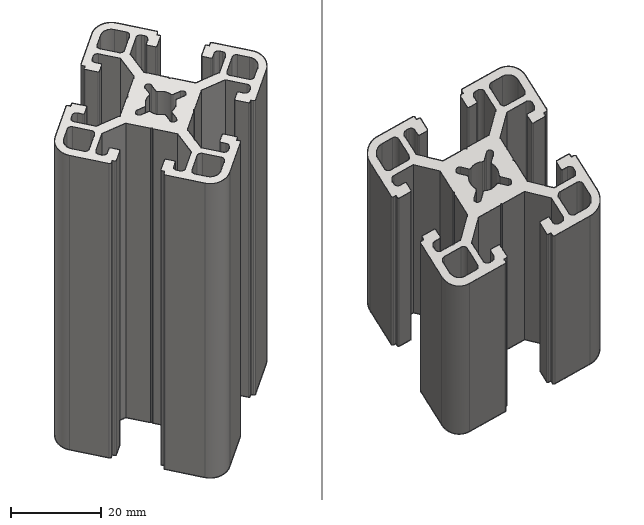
import cadquery as cq
import math


SIDE = 40.0
LENGTH = 100.0
CORNER_RADIUS = 4.5
HALF = SIDE / 2

WALL = 2.0
OPENING_HALF = 5.1
STEP_HALF = 6.0
STEP_DEPTH = 1.0
LIP_DEPTH = 4.5
LIP_INNER = 7.6
LIP_ROUND = 0.3
STEP_ROUND = 0.4

CORE_HALF = 7.7
CHAMBER_WIDTH = 20.5
CHAMBER_HALF = CHAMBER_WIDTH / 2
DIAGONAL_WEB = 2.5
GROOVE_RADIUS = 1.0

MARK_DEPTH = 0.2
MARK_HALF_WIDTH = 0.3

POCKET_WEB = 1.5
POCKET_OUTER_RADIUS = CORNER_RADIUS - WALL
POCKET_INNER_RADIUS = 1.0

BORE_RADIUS = 3.4
RELIEF_WIDTH = 1.6
RELIEF_REACH = 6.3
RELIEF_MOUTH_ROUND = 0.4


def fillet_upright_edge(body, x, y, radius):
    """Round the full-length edge of the body that stands at (x, y)."""
    middle = cq.selectors.NearestToPointSelector((x, y, LENGTH / 2))
    return body.edges("|Z").edges(middle).fillet(radius)


def slot_cutter():
    """T-slot open to +Y: one half is outlined, rounded, and mirrored across the YZ plane."""
    web_offset = DIAGONAL_WEB / math.sqrt(2)
    roof = HALF - WALL
    step_floor = HALF - STEP_DEPTH
    lip_end = HALF - LIP_DEPTH
    arc_inset = STEP_ROUND * (1 - math.sqrt(0.5))
    half_slot = (
        cq.Workplane("XY")
        .moveTo(0, HALF)
        .lineTo(STEP_HALF + STEP_ROUND, HALF)
        .threePointArc((STEP_HALF + arc_inset, HALF - arc_inset), (STEP_HALF, HALF - STEP_ROUND))
        .lineTo(STEP_HALF, step_floor)
        .lineTo(OPENING_HALF, step_floor)
        .lineTo(OPENING_HALF, lip_end)
        .lineTo(LIP_INNER, lip_end)
        .lineTo(LIP_INNER, roof)
        .lineTo(CHAMBER_HALF, roof)
        .lineTo(CHAMBER_HALF, CHAMBER_HALF + web_offset)
        .lineTo(CORE_HALF - web_offset, CORE_HALF)
        .lineTo(MARK_HALF_WIDTH, CORE_HALF)
        .lineTo(0, CORE_HALF - MARK_DEPTH)
        .close()
        .extrude(LENGTH)
    )
    rounded_corners = (
        (OPENING_HALF, step_floor, LIP_ROUND),
        (OPENING_HALF, lip_end, LIP_ROUND),
        (LIP_INNER, lip_end, LIP_ROUND),
        (LIP_INNER, roof, GROOVE_RADIUS),
        (CHAMBER_HALF, roof, GROOVE_RADIUS),
    )
    for x, y, radius in rounded_corners:
        half_slot = fillet_upright_edge(half_slot, x, y, radius)
    return half_slot.union(half_slot.mirror("YZ"))


def pocket_cutter():
    """Hollow of the +X +Y corner, with a larger radius facing the outer corner."""
    inner = CHAMBER_HALF + POCKET_WEB
    outer = HALF - WALL
    size = outer - inner
    pocket = cq.Workplane("XY").box(size, size, LENGTH, centered=False)
    pocket = pocket.translate((inner, inner, 0))
    pocket = fillet_upright_edge(pocket, outer, outer, POCKET_OUTER_RADIUS)
    for x, y in ((inner, inner), (inner, outer), (outer, inner)):
        pocket = fillet_upright_edge(pocket, x, y, POCKET_INNER_RADIUS)
    return pocket


def bore_cutter():
    """Round bore crossed by two round-ended slots on the diagonals, with their mouths rounded."""
    bore = cq.Workplane("XY").circle(BORE_RADIUS).extrude(LENGTH)
    for diagonal in (45, 135):
        relief = cq.Workplane("XY").slot2D(2 * RELIEF_REACH, RELIEF_WIDTH, diagonal).extrude(LENGTH)
        bore = bore.union(relief)
    mouth_angle = math.asin(RELIEF_WIDTH / 2 / BORE_RADIUS)
    for quarter in range(4):
        diagonal = math.radians(45 + 90 * quarter)
        for angle in (diagonal - mouth_angle, diagonal + mouth_angle):
            x = BORE_RADIUS * math.cos(angle)
            y = BORE_RADIUS * math.sin(angle)
            bore = fillet_upright_edge(bore, x, y, RELIEF_MOUTH_ROUND)
    return bore


profile = cq.Workplane("XY").rect(SIDE, SIDE).extrude(LENGTH).edges("|Z").fillet(CORNER_RADIUS)
slot = slot_cutter()
pocket = pocket_cutter()
for quarter in range(4):
    turn = 90 * quarter
    profile = profile.cut(slot.rotate((0, 0, 0), (0, 0, 1), turn))
    profile = profile.cut(pocket.rotate((0, 0, 0), (0, 0, 1), turn))
result = profile.cut(bore_cutter())